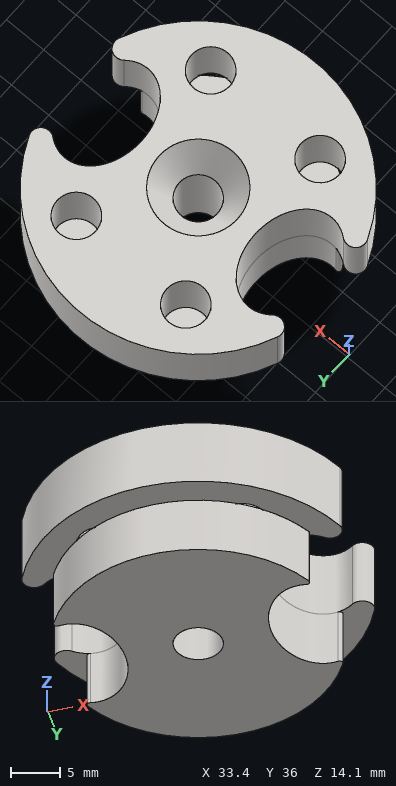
import cadquery as cq
import math

plate_radius = 18.0
hub_radius = 14.98
total_height = 14.1
plate_height = 7.65
hub_height = total_height - plate_height

notch_center_x = 12.28
notch_half_width = 4.65
notch_half_length = 6.37
plate_lip_radius = 1.25
hub_lip_radius = 0.35

pin_hole_diameter = 5.1
pin_hole_x = 7.3
pin_hole_y = 10.35

bore_diameter = 5.08
countersink_diameter = 10.45
countersink_depth = 3.1


def notch_point(angle):
    """Point on the +X notch ellipse; angle 0 faces outward."""
    return (
        notch_center_x + notch_half_width * math.cos(angle),
        notch_half_length * math.sin(angle),
    )


def lip_center(angle, lip_radius):
    """Center of a lip circle that touches the notch from outside at the given angle."""
    x, y = notch_point(angle)
    normal_x = math.cos(angle) / notch_half_width
    normal_y = math.sin(angle) / notch_half_length
    offset = lip_radius / math.hypot(normal_x, normal_y)
    return x + offset * normal_x, y + offset * normal_y


def lip_angle(body_radius, lip_radius):
    """Notch angle where the lip circle is also tangent to the inside of the body circle."""
    outer_angle = 0.0
    inner_angle = math.pi
    for _ in range(60):
        middle = (outer_angle + inner_angle) / 2
        if math.hypot(*lip_center(middle, lip_radius)) > body_radius - lip_radius:
            outer_angle = middle
        else:
            inner_angle = middle
    return outer_angle


def notched_disc(body_radius, lip_radius, height):
    """Disc with two notches whose open ends are rounded into the rim."""
    angle = lip_angle(body_radius, lip_radius)
    notch_end_x, notch_end_y = notch_point(angle)
    center_x, center_y = lip_center(angle, lip_radius)
    rim_scale = body_radius / math.hypot(center_x, center_y)
    rim_x = center_x * rim_scale
    rim_y = center_y * rim_scale

    start_direction = math.atan2(rim_y - center_y, rim_x - center_x)
    end_direction = math.atan2(notch_end_y - center_y, notch_end_x - center_x)
    lip_direction = (start_direction + end_direction) / 2
    lip_x = center_x + lip_radius * math.cos(lip_direction)
    lip_y = center_y + lip_radius * math.sin(lip_direction)

    end_degrees = math.degrees(angle)
    outline = (
        cq.Workplane("XY")
        .moveTo(-rim_x, rim_y)
        .threePointArc((0, body_radius), (rim_x, rim_y))
        .threePointArc((lip_x, lip_y), (notch_end_x, notch_end_y))
        .ellipseArc(notch_half_width, notch_half_length, end_degrees, 360 - end_degrees)
        .threePointArc((lip_x, -lip_y), (rim_x, -rim_y))
        .threePointArc((0, -body_radius), (-rim_x, -rim_y))
        .threePointArc((-lip_x, -lip_y), (-notch_end_x, -notch_end_y))
        .ellipseArc(notch_half_width, notch_half_length, end_degrees - 180, 180 - end_degrees)
        .threePointArc((-lip_x, lip_y), (-rim_x, rim_y))
        .close()
    )
    return outline.extrude(height)


hub = notched_disc(hub_radius, hub_lip_radius, hub_height)
plate = notched_disc(plate_radius, plate_lip_radius, plate_height).translate((0, 0, hub_height))

plate = (
    plate.faces(">Z")
    .workplane(origin=(0, 0, total_height))
    .rect(2 * pin_hole_x, 2 * pin_hole_y, forConstruction=True)
    .vertices()
    .circle(pin_hole_diameter / 2)
    .cutBlind(-plate_height)
)

bore = cq.Workplane("XY").circle(bore_diameter / 2).extrude(total_height)
countersink = cq.Workplane(
    cq.Solid.makeCone(
        bore_diameter / 2,
        countersink_diameter / 2,
        countersink_depth,
        pnt=cq.Vector(0, 0, total_height - countersink_depth),
    )
)

result = hub.union(plate).cut(bore).cut(countersink)